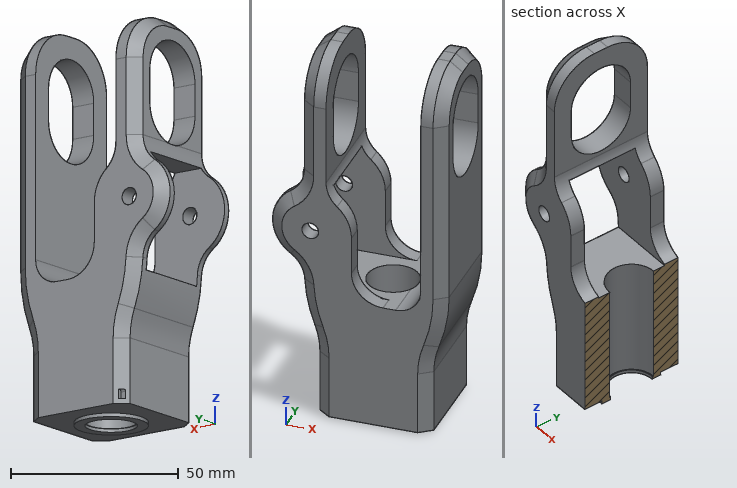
import cadquery as cq
import math

height = 122
width = 35.0
arm_half_span = 22.9
arm_thickness = 7.9
base_half_length = 18.0
base_bottom = 1.1

shoulder_top = 48.0
shoulder_radius = 50
waist_radius = 25.0

ear_x = -20.0
ear_z = 64.0
ear_radius = 13.0
ear_blend = 10.0
pin_diameter = 5.2

gap_floor = 42.0
gap_left_radius = 10.0
gap_right_radius = 7.9

window_width = 24.8
window_top = 78.1

arm_end_radius = 15.0
eye_width = 22.2
eye_bottom = 83
eye_top = 115.0

bevel_across = 3.0
bevel_deep = 4.0

spigot_diameter = 22.2
bore_diameter = 16.3
lip_diameter = 15.6

notch_y = 16.0
notch_width = 1.5
notch_bottom = 2.7
notch_top = 5.6
notch_reach = 2.8


def on_circle(center, radius, toward):
    """Point on a circle in the direction of another point."""
    dx = toward[0] - center[0]
    dz = toward[1] - center[1]
    reach = math.hypot(dx, dz)
    return (center[0] + radius * dx / reach, center[1] + radius * dz / reach)


def arc_to(sketch, start, center, radius, end):
    """Add the shorter arc about center from start to end."""
    chord_middle = ((start[0] + end[0]) / 2, (start[1] + end[1]) / 2)
    return sketch.threePointArc(on_circle(center, radius, chord_middle), end)


ear = (ear_x, ear_z)
gap_half = arm_half_span - arm_thickness
blend_reach = ear_radius + ear_blend

shoulder_angle = math.acos(1 - (arm_half_span - base_half_length) / (shoulder_radius + waist_radius))
waist_z = shoulder_top - (shoulder_radius + waist_radius) * math.sin(shoulder_angle)
right_shoulder = (arm_half_span - shoulder_radius, shoulder_top)
right_waist = (base_half_length + waist_radius, waist_z)
right_joint = on_circle(right_shoulder, shoulder_radius, right_waist)
left_shoulder = (-right_shoulder[0], shoulder_top)
left_waist = (-right_waist[0], waist_z)
left_joint = (-right_joint[0], right_joint[1])

upper_blend_x = -arm_half_span - ear_blend
upper_blend = (upper_blend_x, ear_z + math.sqrt(blend_reach**2 - (ear_x - upper_blend_x) ** 2))

shoulder_reach = shoulder_radius + ear_blend
center_gap = math.hypot(left_shoulder[0] - ear_x, left_shoulder[1] - ear_z)
angle_to_shoulder = math.atan2(left_shoulder[1] - ear_z, left_shoulder[0] - ear_x)
angle_at_ear = math.acos(
    (blend_reach**2 + center_gap**2 - shoulder_reach**2) / (2 * blend_reach * center_gap)
)
lower_angle = angle_to_shoulder - angle_at_ear
lower_blend = (ear_x + blend_reach * math.cos(lower_angle), ear_z + blend_reach * math.sin(lower_angle))

inner_blend_x = -gap_half + ear_blend
inner_blend = (inner_blend_x, ear_z + math.sqrt(blend_reach**2 - (inner_blend_x - ear_x) ** 2))
gap_left = ear_x + ear_radius


def make_outline():
    """Side outline without the gap, extruded over the full width."""
    upper_joint = on_circle(ear, ear_radius, upper_blend)
    lower_joint = on_circle(ear, ear_radius, lower_blend)
    shoulder_start = on_circle(lower_blend, ear_blend, left_shoulder)
    shoulder_end = (arm_half_span, shoulder_top)
    ear_tip = (ear_x - ear_radius, ear_z)
    waist_right = (base_half_length, waist_z)
    waist_left = (-base_half_length, waist_z)

    s = cq.Workplane("XZ").moveTo(-base_half_length, base_bottom)
    s = s.lineTo(base_half_length, base_bottom).lineTo(*waist_right)
    s = arc_to(s, waist_right, right_waist, waist_radius, right_joint)
    s = arc_to(s, right_joint, right_shoulder, shoulder_radius, shoulder_end)
    s = s.lineTo(arm_half_span, height).lineTo(-arm_half_span, height)
    arm_foot = (-arm_half_span, upper_blend[1])
    s = s.lineTo(*arm_foot)
    s = arc_to(s, arm_foot, upper_blend, ear_blend, upper_joint)
    s = s.threePointArc(ear_tip, lower_joint)
    s = arc_to(s, lower_joint, lower_blend, ear_blend, shoulder_start)
    s = arc_to(s, shoulder_start, left_shoulder, shoulder_radius, left_joint)
    s = arc_to(s, left_joint, left_waist, waist_radius, waist_left)
    return s.close().extrude(width / 2, both=True)


def make_gap():
    """Open space between the arms, following the ear on its left side."""
    left_center = (gap_left + gap_left_radius, gap_floor + gap_left_radius)
    right_center = (gap_half - gap_right_radius, gap_floor + gap_right_radius)
    left_start = (gap_left, left_center[1])
    left_end = (left_center[0], gap_floor)
    right_start = (right_center[0], gap_floor)
    right_end = (gap_half, right_center[1])
    ear_side = (gap_left, ear_z)
    ear_joint = on_circle(ear, ear_radius, inner_blend)
    arm_foot = (-gap_half, inner_blend[1])

    s = cq.Workplane("XZ").moveTo(-gap_half, height).lineTo(*arm_foot)
    s = arc_to(s, arm_foot, inner_blend, ear_blend, ear_joint)
    s = arc_to(s, ear_joint, ear, ear_radius, ear_side)
    s = s.lineTo(*left_start)
    s = arc_to(s, left_start, left_center, gap_left_radius, left_end)
    s = s.lineTo(*right_start)
    s = arc_to(s, right_start, right_center, gap_right_radius, right_end)
    s = s.lineTo(gap_half, height)
    return s.close().extrude(width / 2, both=True)


def round_arm_ends(body):
    """Round both arm tips as seen along X."""
    blank = cq.Workplane("YZ").rect(width, 2 * height).extrude(2 * arm_half_span, both=True)
    return body.intersect(blank.edges("|X and >Z").fillet(arm_end_radius))


def base_corners(body, near_x, far_x):
    """Vertical base edges on one side; each begins a tangent chain up and over the arm."""
    region = cq.selectors.BoxSelector((near_x, -width, base_bottom), (far_x, width, waist_z))
    return body.edges(region).edges("|Z")


def bevel_outer_edges(body):
    """Bevel both outer sides, going deeper along X than across Y."""
    body = base_corners(body, 0, arm_half_span).chamfer(bevel_deep, bevel_across)
    return base_corners(body, -arm_half_span, 0).chamfer(bevel_deep, bevel_across)


def make_window():
    """Rectangular opening from the gap out through the left wall below the arm."""
    right_end = gap_left + gap_left_radius
    left_end = ear_x - 2 * ear_radius
    return cq.Workplane("XY").box(
        right_end - left_end, window_width, window_top - gap_floor, centered=(False, True, False)
    ).translate((left_end, 0, gap_floor))


def make_eyes():
    """Oblong hole through both arms."""
    return (
        cq.Workplane("YZ").center(0, (eye_bottom + eye_top) / 2)
        .slot2D(eye_top - eye_bottom, eye_width, 90)
        .extrude(2 * arm_half_span, both=True)
    )


def make_pin_hole():
    """Cross pin hole through both ears."""
    return cq.Workplane("XZ").center(*ear).circle(pin_diameter / 2).extrude(width, both=True)


def make_bore():
    """Vertical bore that narrows to a lip inside the spigot."""
    bore = (
        cq.Workplane("XY").workplane(offset=base_bottom)
        .circle(bore_diameter / 2).extrude(window_top - base_bottom)
    )
    lip = cq.Workplane("XY").circle(lip_diameter / 2).extrude(window_top)
    return bore.union(lip)


def make_notch():
    """Arched notch cut into the bevel along X."""
    radius = notch_width / 2
    return (
        cq.Workplane("YZ", origin=(-base_half_length, notch_y, 0))
        .moveTo(-radius, notch_bottom)
        .lineTo(radius, notch_bottom)
        .lineTo(radius, notch_top - radius)
        .threePointArc((0, notch_top), (-radius, notch_top - radius))
        .close().extrude(notch_reach)
    )


spigot = cq.Workplane("XY").circle(spigot_diameter / 2).extrude(2 * base_bottom)

result = bevel_outer_edges(round_arm_ends(make_outline())).union(spigot)
for opening in (make_gap(), make_window(), make_eyes(), make_pin_hole(), make_bore(), make_notch()):
    result = result.cut(opening)